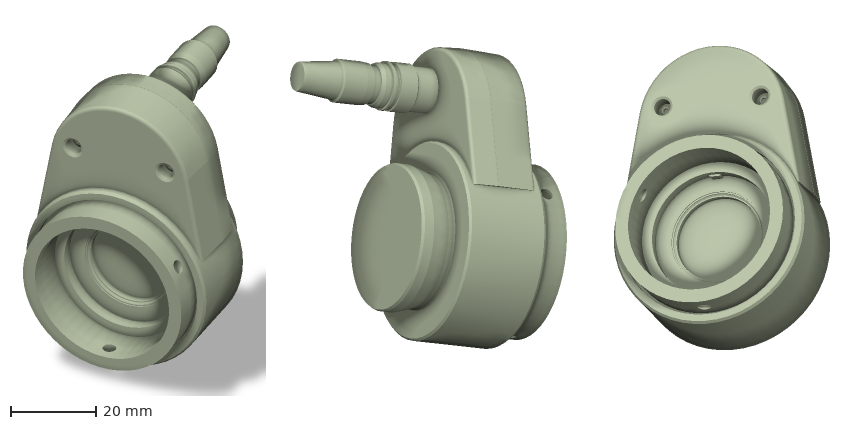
import cadquery as cq
import math


body_dia = 47.0
body_front = 6.85
body_back = 27.45
body_chamfer_radial = 0.5
body_front_chamfer_axial = 0.7
body_back_chamfer_axial = 0.55
tube_dia = 41.3
tube_relief_dia = 40.0
tube_relief_width = 0.9
gap_dia = 42.7
gap_depth = 2.1
flange_neck_dia = 32.35
flange_neck_flare_dia = 32.8
flange_neck_start = 27.8
flange_neck_end = 29.1
flange_dia = 34.9
flange_rim_start = 33.7
flange_back = 36.8
flange_chamfer_radial = 0.35
flange_chamfer_axial = 0.7

bore_dia = 34.9
bore_depth = 10.5
inner_bore_dia = 30.0
inner_bore_depth = 14.0
relief_dia = 30.6
relief_width = 0.6
window_rim_dia = 22.7
window_rim_end = 14.3
window_lip_dia = 22.0
window_lip_end = 14.55
window_cone_dia = 21.3
window_cone_end = 14.85
window_dia = 20.7
window_depth = 16.45

key_start = 11.9
key_tip_distance = 14.525
key_base_width = 3.2
key_tip_width = 2.45

radial_hole_dia = 3.2
radial_hole_y = 3.9
radial_hole_angles = (30, 150, 270)

lug_front = 8.9
lug_back = 25.4
lug_top = 46.515
lug_top_radius = 18.55
lug_side_angle = 10.3
lug_bottom = 9.95
lug_draft = 3.0
lug_fillet = 0.9
parting_y = 19.1
parting_width = 0.3
parting_depth = 0.1

screw_x = 12.05
screw_z = 32.05
screw_mouth_dia = 5.2
screw_mouth_depth = 0.35
screw_hole_dia = 4.05
screw_hole_depth = 3.85
screw_head_top_dia = 1.95
screw_head_height = 0.85
socket_width = 1.1
socket_depth = 0.55

plug_z = 36.0
plug_stub_dia = 7.15
plug_stub_end = 25.9
plug_sleeve_dia = 10.7
plug_sleeve_end = 31.1
plug_collar_dia = 11.7
plug_collar_start = 31.5
plug_collar_end = 35.9
plug_groove_dia = 10.4
plug_groove_width = 0.4
plug_groove_starts = (36.25, 37.95)
plug_ring_start = 37.25
plug_ring_end = 37.95
plug_sleeve_back = 39.75
plug_shoulder_dia = 9.9
plug_neck_dia = 9.1
plug_neck_start = 40.75
plug_neck_end = 42.55
plug_barrel_edge_dia = 9.9
plug_barrel_dia = 10.3
plug_barrel_start = 44.6
plug_barrel_end = 50.55
plug_boot_dia = 9.25
plug_boot_start = 50.9
plug_tip_dia = 7.15
plug_tip_start = 60.05
plug_tip_edge_dia = 6.85
plug_end = 60.6


def turned(profile):
    """Solid of revolution about Y from (diameter, y) corners, closed along the axis."""
    corners = [(dia / 2, y) for dia, y in profile]
    first_y = corners[0][1]
    last_y = corners[-1][1]
    outline = cq.Workplane("XY").polyline([(0, first_y)] + corners + [(0, last_y)]).close()
    return outline.revolve(360, (0, 0, 0), (0, 1, 0))


def cylinder_y(dia, y_start, y_end):
    return turned([(dia, y_start), (dia, y_end)])


def make_round_body():
    body_edge_dia = body_dia - 2 * body_chamfer_radial
    return turned([
        (tube_dia, 0),
        (tube_dia, body_front),
        (body_edge_dia, body_front),
        (body_dia, body_front + body_front_chamfer_axial),
        (body_dia, body_back - body_back_chamfer_axial),
        (body_edge_dia, body_back),
        (flange_neck_flare_dia, body_back),
        (flange_neck_dia, flange_neck_start),
        (flange_neck_dia, flange_neck_end),
        (flange_dia, flange_rim_start),
        (flange_dia, flange_back - flange_chamfer_axial),
        (flange_dia - 2 * flange_chamfer_radial, flange_back),
    ])


def make_tube_gap():
    """Ring-shaped recess around the root of the tube, undercutting the tube at its floor."""
    gap_floor = body_front + gap_depth
    relief_start = gap_floor - tube_relief_width
    gap = cylinder_y(gap_dia, body_front, gap_floor)
    tube_core = turned([
        (tube_dia, body_front),
        (tube_dia, relief_start),
        (tube_relief_dia, relief_start),
        (tube_relief_dia, gap_floor),
    ])
    return gap.cut(tube_core)


def make_bore():
    relief_start = inner_bore_depth - relief_width
    return turned([
        (bore_dia, 0),
        (bore_dia, bore_depth),
        (inner_bore_dia, bore_depth),
        (inner_bore_dia, relief_start),
        (relief_dia, relief_start),
        (relief_dia, inner_bore_depth),
        (window_rim_dia, inner_bore_depth),
        (window_rim_dia, window_rim_end),
        (window_lip_dia, window_rim_end),
        (window_lip_dia, window_lip_end),
        (window_cone_dia, window_cone_end),
        (window_dia, window_cone_end),
        (window_dia, window_depth),
    ])


def make_key():
    """Tapered key at the top of the inner bore, rooted in the bore wall."""
    root_z = relief_dia / 2
    key = (
        cq.Workplane("XZ", origin=(0, key_start, 0))
        .polyline([
            (-key_base_width / 2, root_z),
            (-key_tip_width / 2, key_tip_distance),
            (key_tip_width / 2, key_tip_distance),
            (key_base_width / 2, root_z),
        ])
        .close()
        .extrude(key_start - inner_bore_depth)
    )
    return key


def make_radial_hole(angle):
    hole = (
        cq.Workplane("YZ")
        .center(radial_hole_y, 0)
        .circle(radial_hole_dia / 2)
        .extrude(tube_dia)
    )
    return hole.rotate((0, 0, 0), (0, 1, 0), -angle)


def lug_outline(inset):
    """Rounded top with sides spreading downward, on the parting plane, drawn inward by `inset`."""
    angle = math.radians(lug_side_angle)
    radius = lug_top_radius - inset
    centre_z = lug_top - lug_top_radius
    tangent_x = radius * math.cos(angle)
    tangent_z = centre_z + radius * math.sin(angle)
    base_x = tangent_x + tangent_z * math.tan(angle)
    return (
        cq.Workplane("XZ", origin=(0, parting_y, 0))
        .moveTo(-base_x, 0)
        .lineTo(-tangent_x, tangent_z)
        .threePointArc((0, centre_z + radius), (tangent_x, tangent_z))
        .lineTo(base_x, 0)
        .close()
    )


def make_lug():
    front_half = lug_outline(0).extrude(parting_y - lug_front, taper=lug_draft)
    back_half = lug_outline(0).extrude(parting_y - lug_back, taper=lug_draft)
    front_half = front_half.faces("<Y").edges().fillet(lug_fillet)
    back_half = back_half.faces(">Y").edges().fillet(lug_fillet)
    lug = front_half.union(back_half)

    groove_band = lug_outline(-0.7).extrude(parting_width / 2, both=True)
    groove_core = lug_outline(parting_depth).extrude(parting_width / 2, both=True)
    lug = lug.cut(groove_band.cut(groove_core))

    below = cq.Workplane("XY").box(2 * body_dia, 2 * body_dia, 2 * lug_bottom)
    return lug.cut(below)


def make_screw_recess(x):
    """Round hole to cut from the lug, with a conical screw head left standing at its floor."""
    floor = lug_front + screw_hole_depth
    head_top = floor - screw_head_height
    mouth_end = lug_front + screw_mouth_depth
    hole = turned([(screw_mouth_dia, lug_front), (screw_hole_dia, mouth_end), (screw_hole_dia, floor)])
    head = turned([(screw_head_top_dia, head_top), (screw_hole_dia, floor)])
    socket = (
        cq.Workplane("XZ", origin=(0, head_top, 0))
        .polygon(6, socket_width, circumscribed=True)
        .extrude(-socket_depth)
    )
    return hole.cut(head.cut(socket)).translate((x, 0, screw_z))


def make_housing():
    housing = make_round_body().union(make_lug())
    housing = housing.cut(make_tube_gap())
    housing = housing.cut(make_bore())
    housing = housing.union(make_key())
    for angle in radial_hole_angles:
        housing = housing.cut(make_radial_hole(angle))
    for x in (-screw_x, screw_x):
        housing = housing.cut(make_screw_recess(x))
    return housing


def make_plug_grip():
    """Sleeve that faces the lug, with a wide collar, a narrow ring and two shallow grooves."""
    grip = turned([
        (plug_stub_dia, lug_back),
        (plug_stub_dia, plug_stub_end),
        (plug_sleeve_dia, plug_stub_end),
        (plug_sleeve_dia, plug_sleeve_end),
        (plug_collar_dia, plug_collar_start),
        (plug_collar_dia, plug_collar_end),
        (plug_sleeve_dia, plug_collar_end),
        (plug_sleeve_dia, plug_ring_start),
        (plug_collar_dia, plug_ring_start),
        (plug_collar_dia, plug_ring_end),
        (plug_sleeve_dia, plug_ring_end),
        (plug_sleeve_dia, plug_sleeve_back),
        (plug_shoulder_dia, plug_neck_start),
    ])
    for start in plug_groove_starts:
        end = start + plug_groove_width
        groove = cylinder_y(plug_collar_dia, start, end).cut(cylinder_y(plug_groove_dia, start, end))
        grip = grip.cut(groove)
    return grip


def make_plug_tail():
    """Neck, barrel and tapered boot behind the grip."""
    return turned([
        (plug_neck_dia, plug_neck_start),
        (plug_neck_dia, plug_neck_end),
        (plug_barrel_edge_dia, plug_neck_end),
        (plug_barrel_dia, plug_barrel_start),
        (plug_barrel_dia, plug_barrel_end),
        (plug_boot_dia, plug_boot_start),
        (plug_tip_dia, plug_tip_start),
        (plug_tip_edge_dia, plug_end),
    ])


def make_plug():
    return make_plug_grip().union(make_plug_tail()).translate((0, 0, plug_z))


housing = make_housing()
plug = make_plug()
result = cq.Compound.makeCompound([housing.val(), plug.val()])